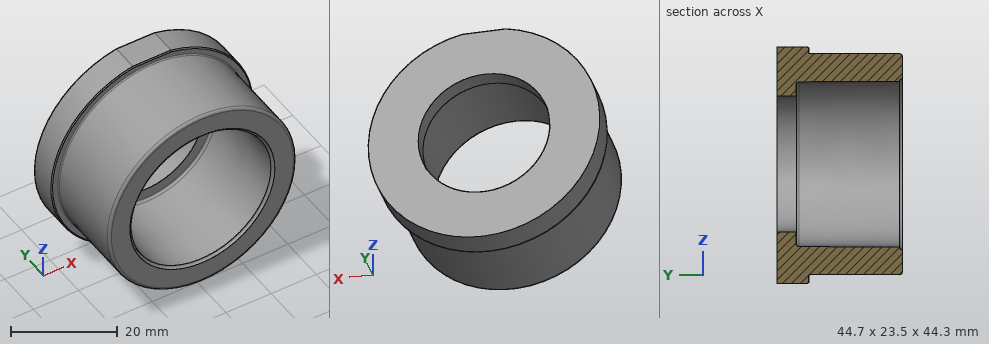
import cadquery as cq

flange_radius = 22.35
flange_thickness = 6.0
flange_edge_chamfer = 0.22
flat_height = 21.95

length = 23.5
body_radius = 20.75
body_edge_fillet = 0.6
shoulder_fillet = 0.22

bore_radius = 15.38
mouth_radius = 15.45
mouth_fillet = 0.55
floor_fillet = 0.5
through_radius = 12.7
lip_thickness = 3.6

front = -length / 2
back = length / 2
shoulder = back - flange_thickness
lip_face = back - lip_thickness


def make_flange():
    """Disc with a flat on top; the edge chamfer follows the flat."""
    disc = cq.Workplane("XZ", origin=(0, back, 0)).circle(flange_radius).extrude(flange_thickness)
    below_flat = cq.Workplane("XY").box(2 * flange_radius, length, flange_radius + flat_height)
    below_flat = below_flat.translate((0, 0, (flat_height - flange_radius) / 2))
    return disc.intersect(below_flat).faces("<Y").edges().chamfer(flange_edge_chamfer)


def make_body():
    """Revolve the body with its rounded front edge and the blend into the flange."""
    profile = (
        cq.Workplane("XY")
        .moveTo(0, front)
        .lineTo(body_radius - body_edge_fillet, front)
        .radiusArc((body_radius, front + body_edge_fillet), -body_edge_fillet)
        .lineTo(body_radius, shoulder - shoulder_fillet)
        .radiusArc((body_radius + shoulder_fillet, shoulder), shoulder_fillet)
        .lineTo(0, shoulder)
        .close()
    )
    return profile.revolve(360, (0, 0, 0), (0, 1, 0))


def make_bore():
    """Revolve the stepped bore with its rounded, slightly tapered mouth."""
    profile = (
        cq.Workplane("XY")
        .moveTo(0, front)
        .lineTo(mouth_radius + mouth_fillet, front)
        .radiusArc((mouth_radius, front + mouth_fillet), -mouth_fillet)
        .lineTo(bore_radius, lip_face - floor_fillet)
        .radiusArc((bore_radius - floor_fillet, lip_face), -floor_fillet)
        .lineTo(through_radius, lip_face)
        .lineTo(through_radius, back)
        .lineTo(0, back)
        .close()
    )
    return profile.revolve(360, (0, 0, 0), (0, 1, 0))


result = make_flange().union(make_body()).cut(make_bore())